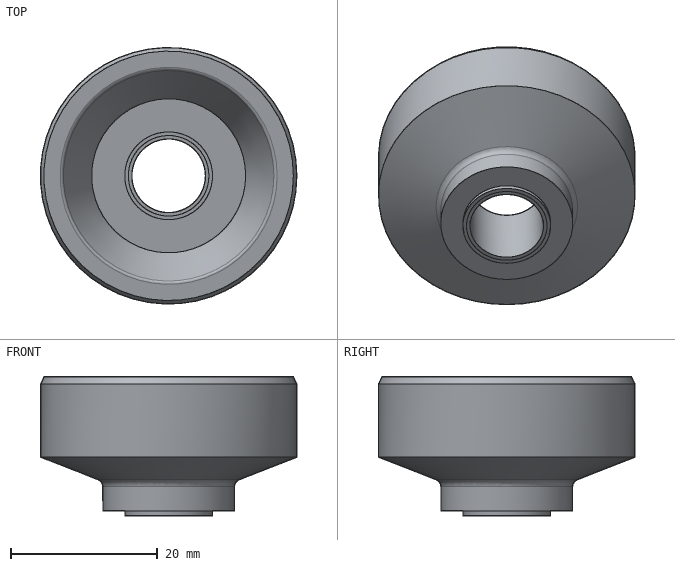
import cadquery as cq

outer_radius = 17.5
total_height = 19.0
rim_chamfer_width = 0.5
rim_chamfer_height = 1.0
cylinder_bottom = 8.0

boss_radius = 9.0
boss_bottom = 0.7
boss_fillet = 1.0
cone_foot_height = 4.7

floor_radius = 10.5
floor_height = 10.5
mouth_radius = 14.5
mouth_fillet = 0.5

collar_radius = 6.0
collar_top = 11.0
sleeve_outer_radius = 5.5
sleeve_bore_radius = 5.0

position_tolerance = 0.005


def make_wheel():
    """Cupped wheel with a collar standing proud of the cup floor and the boss."""
    profile = (
        cq.Workplane("XZ")
        .moveTo(sleeve_outer_radius, 0)
        .lineTo(collar_radius, 0)
        .lineTo(collar_radius, boss_bottom)
        .lineTo(boss_radius, boss_bottom)
        .lineTo(boss_radius, cone_foot_height)
        .lineTo(outer_radius, cylinder_bottom)
        .lineTo(outer_radius, total_height - rim_chamfer_height)
        .lineTo(outer_radius - rim_chamfer_width, total_height)
        .lineTo(mouth_radius, total_height)
        .lineTo(floor_radius, floor_height)
        .lineTo(collar_radius, floor_height)
        .lineTo(collar_radius, collar_top)
        .lineTo(sleeve_outer_radius, collar_top)
        .close()
    )
    wheel = profile.revolve(360, (0, 0, 0), (0, 1, 0))
    wheel = fillet_circle(wheel, boss_radius, cone_foot_height, boss_fillet)
    return fillet_circle(wheel, mouth_radius, total_height, mouth_fillet)


def fillet_circle(body, circle_radius, height, fillet_radius):
    """Round the circular edge that has the given radius and height."""
    edges = body.edges("%CIRCLE").filter(
        lambda edge: abs(edge.radius() - circle_radius) < position_tolerance
        and abs(edge.Center().z - height) < position_tolerance
    )
    return edges.fillet(fillet_radius)


def make_sleeve():
    """Plain tube lining the full length of the collar."""
    return (
        cq.Workplane("XY")
        .circle(sleeve_outer_radius)
        .circle(sleeve_bore_radius)
        .extrude(collar_top)
    )


wheel = make_wheel()
sleeve = make_sleeve()
result = cq.Compound.makeCompound([wheel.val(), sleeve.val()])